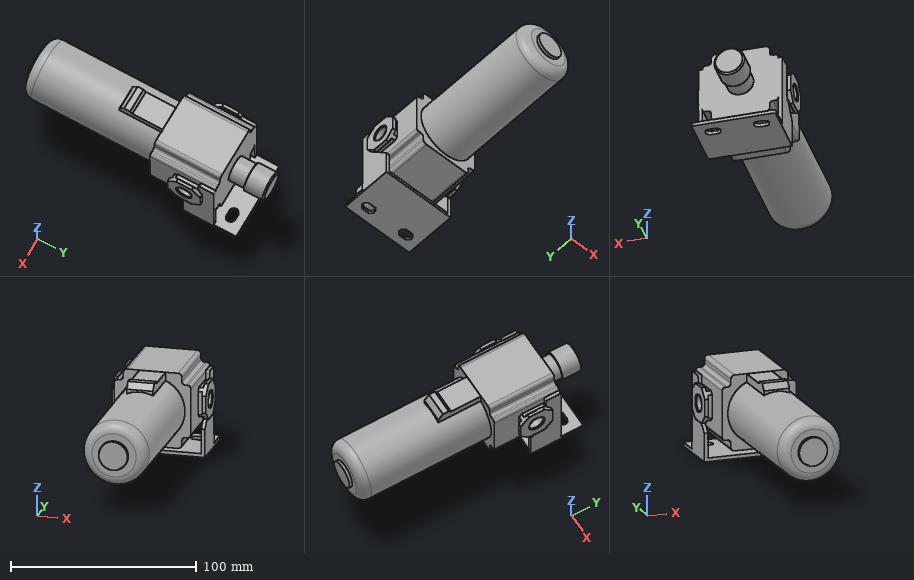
import cadquery as cq


body_half = 21.4
neck_half = 16.4
shoulder_half = 15.0
body_back = 17.0
body_length = 40.9
body_front = body_back - body_length
ridge_radius = 2.2
notch_radius = 2.0
band_radius = 1.8

bowl_radius = 18.2
dome_radius = 5.9
button_radius = 8.0
button_height = 1.8
overall_length = 146.5
knob_end = 39.4
button_face = knob_end - overall_length
bowl_end = button_face + button_height

stem_radius = 7.5
knob_radius = 8.5
knob_length = 12.5
knob_chamfer = 0.9

latch_width = 14.6
latch_top = 22.7
latch_back_height = 21.2
latch_nose_height = 19.2
latch_tip = -50.7
latch_crest_front = -47.8
latch_crest_back = -44.1
latch_ramp = latch_top - latch_back_height

port_face = 26.2
plate_back = 24.2
pad_end = 23.7
plate_size = 20.2
plate_chamfer = 5.3
pad_size = 16.7
hole_radius = 4.4
hole_chamfer = 0.6
hole_chamfer_angle = 45
hole_depth = 7.3

sheet = 2.2
bracket_half = body_half + sheet
bracket_bottom = -33.0
bracket_back = 30.9
leg_top = 13.2
leg_upper_front = 7.5
leg_lower_front = -2.2
leg_corner_z = -16.7
corner_radius = 1.0
leg_back_radius = 0.6
slot_length = 8.5
slot_width = 5.3
slot_offset = 13.6
slot_setback = 5.9


def along_y(y_start, y_end, radius):
    """Cylinder on the bowl axis between two Y positions."""
    return cq.Workplane("XZ", origin=(0, y_start, 0)).circle(radius).extrude(y_start - y_end)


def make_body():
    section = cq.Workplane("XZ", origin=(0, body_back, 0))
    band = section.rect(2 * body_half, 2 * shoulder_half).extrude(body_length)
    ridges = section.rect(2 * neck_half, 2 * body_half).extrude(body_length)
    body = band.union(ridges)
    for x_side in (-1, 1):
        for z_side in (-1, 1):
            for x, z, radius in (
                (neck_half, body_half, ridge_radius),
                (body_half, shoulder_half, band_radius),
                (neck_half, shoulder_half, notch_radius),
            ):
                corner = (x_side * x, body_back - body_length / 2, z_side * z)
                edge = cq.selectors.NearestToPointSelector(corner)
                body = body.edges("|Y").edges(edge).fillet(radius)
    return body


def make_bowl():
    bowl = along_y(body_front, bowl_end, bowl_radius).faces("<Y").edges().fillet(dome_radius)
    return bowl.union(along_y(bowl_end, button_face, button_radius))


def make_knob():
    stem = along_y(knob_end - knob_length, body_back, stem_radius)
    knob = along_y(knob_end, knob_end - knob_length, knob_radius)
    return stem.union(knob.faces(">Y").edges().chamfer(knob_chamfer))


def make_latch():
    profile = [
        (body_front, 0),
        (body_front, latch_back_height),
        (latch_crest_back + latch_ramp, latch_back_height),
        (latch_crest_back, latch_top),
        (latch_crest_front, latch_top),
        (latch_tip, latch_nose_height),
        (latch_tip, 0),
    ]
    return cq.Workplane("YZ").polyline(profile).close().extrude(latch_width / 2, both=True)


def make_port():
    """Octagonal block with its four straight sides undercut behind the plate."""
    depth = port_face - body_half
    block = cq.Workplane("YZ", origin=(body_half, 0, 0)).rect(plate_size, plate_size).extrude(depth)
    port = block.edges("|X").chamfer(plate_chamfer)
    undercut_profile = [
        (body_half, pad_size / 2),
        (pad_end, pad_size / 2),
        (plate_back, plate_size / 2),
        (body_half, plate_size / 2),
    ]
    undercut = cq.Workplane("XZ").polyline(undercut_profile).close().extrude(plate_size / 2, both=True)
    for quarter in range(4):
        port = port.cut(undercut.rotate((0, 0, 0), (1, 0, 0), 90 * quarter))
    return port


def make_hole():
    face = cq.Workplane("YZ", origin=(port_face, 0, 0))
    bore = face.circle(hole_radius).extrude(-hole_depth)
    mouth = face.circle(hole_radius + hole_chamfer).extrude(-hole_chamfer, taper=hole_chamfer_angle)
    return bore.union(mouth)


def make_leg():
    slope_top = leg_corner_z + leg_upper_front - leg_lower_front
    profile = [
        (body_back, bracket_bottom),
        (body_back, leg_top),
        (leg_upper_front, leg_top),
        (leg_upper_front, slope_top),
        (leg_lower_front, leg_corner_z),
        (leg_lower_front, bracket_bottom),
    ]
    leg = cq.Workplane("YZ", origin=(body_half, 0, 0)).polyline(profile).close().extrude(sheet)
    leg = leg.edges("|X and >Z and >Y").fillet(leg_back_radius)
    return leg.faces(">Z").edges("|X and <Y").fillet(corner_radius)


def make_base():
    depth = bracket_back - leg_lower_front
    base = (
        cq.Workplane("XY", origin=(0, leg_lower_front + depth / 2, bracket_bottom))
        .rect(2 * bracket_half, depth)
        .extrude(sheet)
    )
    base = base.faces(">Y").edges("|Z").fillet(corner_radius)
    slots = (
        cq.Workplane("XY", origin=(0, body_back + slot_setback, bracket_bottom))
        .pushPoints([(-slot_offset, 0), (slot_offset, 0)])
        .slot2D(slot_length, slot_width)
        .extrude(sheet)
    )
    return base.cut(slots)


side = make_port().union(make_leg())
hole = make_hole()
result = make_body().union(make_bowl()).union(make_knob()).union(make_latch()).union(make_base())
result = result.union(side).union(side.mirror("YZ"))
result = result.cut(hole).cut(hole.mirror("YZ"))